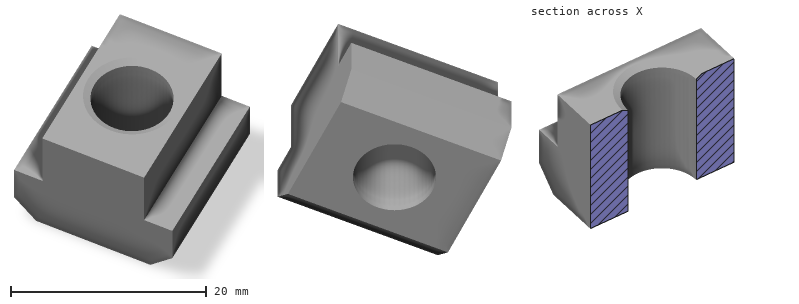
import cadquery as cq

width = 18.0
length = 18.0
height = 14.0

neck_width = 11.6
neck_height = 7.0
base_chamfer = 2.5

hole_diameter = 8.5
mouth_diameter = 10.0
mouth_cone_angle = 120.0


def make_body():
    """T-nut profile centred on X and Y, with its bottom on Z = 0."""
    half_width = width / 2
    half_neck = neck_width / 2
    half_bottom = half_width - base_chamfer
    shoulder_z = height - neck_height
    right_side = [
        (half_bottom, 0),
        (half_width, base_chamfer),
        (half_width, shoulder_z),
        (half_neck, shoulder_z),
        (half_neck, height),
    ]
    left_side = [(-x, z) for x, z in reversed(right_side)]
    profile = cq.Workplane("XZ").polyline(right_side + left_side).close()
    return profile.extrude(length / 2, both=True)


def cut_hole(body):
    """Countersunk hole running down through the centre of the neck."""
    top = body.faces(">Z").workplane(origin=(0, 0, height))
    return top.cskHole(hole_diameter, mouth_diameter, mouth_cone_angle)


result = cut_hole(make_body())